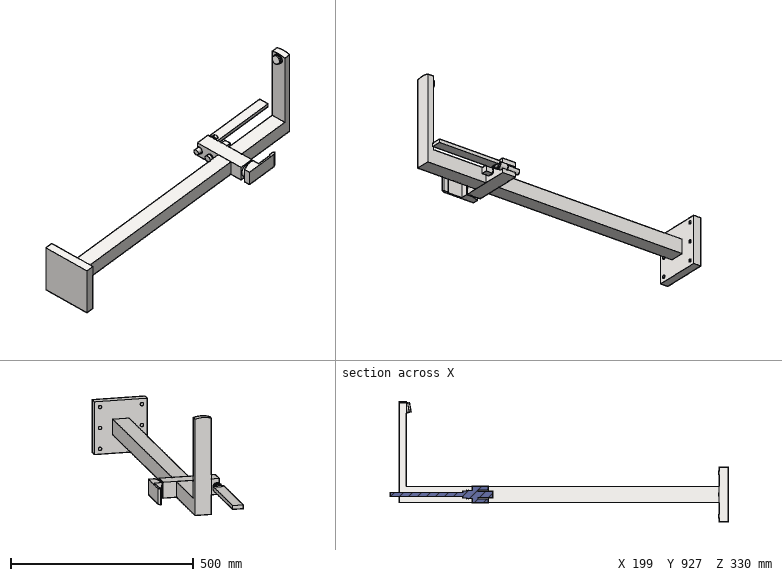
import cadquery as cq
import math


BASE_SIDE = 150.0
BASE_THICK = 25.0
PAD_RADIUS = 5.0
PAD_HEIGHT = 1.4
PAD_OFFSET = 59.0

COLUMN_WIDTH = 46.0
COLUMN_HEIGHT = 44.5
SPOUT_FRONT = 883.0
SPOUT_BACK = 903.0
SPOUT_TOP = 255.0
SPOUT_CROWN = 4.0

NOZZLE_COLLAR_RADIUS = 14.0
NOZZLE_COLLAR_LENGTH = 6.0
NOZZLE_FACE_RADIUS = 13.0
NOZZLE_FACE_LENGTH = 11.0
NOZZLE_TILT = 10
NOZZLE_Z = 237.0

BODY_HEIGHT = 45.0
BODY_LEFT = -99.0
BODY_RIGHT = 60.0
BODY_FRONT = 658.0
BODY_BACK = 703.0
BODY_MID = (BODY_FRONT + BODY_BACK) / 2

SHOWER_LEFT = -108.0
SHOWER_WIDTH = 31.0
SHOWER_X = SHOWER_LEFT + SHOWER_WIDTH / 2
SHOWER_THICK = 11.0
SHOWER_END = 927
SHOWER_START = 718.0
SOCKET_RADIUS = 10.0
SOCKET_END = 728.0
COLLAR_RADIUS = 12.0
COLLAR_START = 713.0
TUBE_RADIUS = 11.0
TUBE_START = 686.0
PEG_RADIUS = 8.0
PEG_START = 645.0

DIVERTER_X = -50.0
DIVERTER_WIDTH = 19.5
DIVERTER_NECK_RADIUS = 8.0
DIVERTER_NECK = 3.0
DIVERTER_FRONT = PEG_START
DIVERTER_BACK = 729.0

CARTRIDGE_RADIUS = 19.5
CARTRIDGE_END = 70.5
LEVER_INNER = 64.0
LEVER_FOOT = 72.0
LEVER_SLANT_START = 682.0
LEVER_OUTER = 91.0
LEVER_THICK = 6.0
LEVER_TIP = 771.0
LIP_START = 751.0
LIP_THICK = 8.0
LIP_BEVEL_START = 760.0
LIP_CORNER = 767.0
LIP_CREST = 5.0


def box(x0, x1, y0, y1, z0, z1):
    return cq.Workplane("XY").box(x1 - x0, y1 - y0, z1 - z0, centered=False).translate((x0, y0, z0))


def centred_box(x_mid, width, y0, y1, height):
    """Box along Y, centred on Z = 0."""
    return box(x_mid - width / 2, x_mid + width / 2, y0, y1, -height / 2, height / 2)


def rod(x, z, y0, y1, radius):
    """Cylinder along Y."""
    return cq.Workplane("XY").add(
        cq.Solid.makeCylinder(radius, y1 - y0, cq.Vector(x, y0, z), cq.Vector(0, 1, 0))
    )


def make_base():
    base = centred_box(0, BASE_SIDE, 0, BASE_THICK, BASE_SIDE)
    for x in (-PAD_OFFSET, PAD_OFFSET):
        for z in (-PAD_OFFSET, 0, PAD_OFFSET):
            base = base.union(rod(x, z, 0, BASE_THICK + PAD_HEIGHT, PAD_RADIUS))
    return base


def make_spout():
    half_width = COLUMN_WIDTH / 2
    shoulder = SPOUT_TOP - SPOUT_CROWN
    return (
        cq.Workplane("XZ", origin=(0, SPOUT_BACK, 0))
        .moveTo(-half_width, -COLUMN_HEIGHT / 2)
        .lineTo(half_width, -COLUMN_HEIGHT / 2)
        .lineTo(half_width, shoulder)
        .threePointArc((0, SPOUT_TOP), (-half_width, shoulder))
        .close()
        .extrude(SPOUT_BACK - SPOUT_FRONT)
    )


def make_nozzle():
    tilt = math.radians(NOZZLE_TILT)
    root_depth = 9.0
    outward = cq.Vector(0, -math.cos(tilt), math.sin(tilt))
    root = cq.Vector(0, SPOUT_FRONT, NOZZLE_Z) - outward * root_depth
    collar = cq.Solid.makeCylinder(
        NOZZLE_COLLAR_RADIUS, root_depth + NOZZLE_COLLAR_LENGTH, root, outward
    )
    face = cq.Solid.makeCylinder(NOZZLE_FACE_RADIUS, root_depth + NOZZLE_FACE_LENGTH, root, outward)
    return cq.Workplane("XY").add(collar).union(cq.Workplane("XY").add(face))


def make_body():
    half_height = BODY_HEIGHT / 2
    body = box(BODY_LEFT, BODY_RIGHT, BODY_FRONT, BODY_BACK, -half_height, half_height)
    return body.cut(rod(SHOWER_X, 0, BODY_FRONT, BODY_BACK, TUBE_RADIUS))


def make_hand_shower():
    shower = centred_box(SHOWER_X, SHOWER_WIDTH, SHOWER_START, SHOWER_END, SHOWER_THICK)
    steps = (
        (SHOWER_START, SOCKET_END, SOCKET_RADIUS),
        (COLLAR_START, SHOWER_START, COLLAR_RADIUS),
        (TUBE_START, COLLAR_START, TUBE_RADIUS),
        (PEG_START, TUBE_START, PEG_RADIUS),
    )
    for start, end, radius in steps:
        shower = shower.union(rod(SHOWER_X, 0, start, end, radius))
    return shower


def make_diverter():
    """Square button behind the body and round button in front, joined by a slim neck."""
    neck_front = BODY_FRONT - DIVERTER_NECK
    neck_back = BODY_BACK + DIVERTER_NECK
    neck = rod(DIVERTER_X, 0, neck_front, neck_back, DIVERTER_NECK_RADIUS)
    front_button = rod(DIVERTER_X, 0, DIVERTER_FRONT, neck_front, DIVERTER_WIDTH / 2)
    back_button = centred_box(DIVERTER_X, DIVERTER_WIDTH, neck_back, DIVERTER_BACK, DIVERTER_WIDTH)
    return neck.union(front_button).union(back_button)


def make_lever():
    plate_inner = LEVER_OUTER - LEVER_THICK
    outline = [
        (LEVER_FOOT, BODY_FRONT),
        (LEVER_OUTER, BODY_FRONT),
        (LEVER_OUTER, LIP_BEVEL_START),
        (LEVER_OUTER - LIP_CREST, LEVER_TIP),
        (LEVER_OUTER - LIP_THICK, LIP_CORNER),
        (LEVER_OUTER - LIP_THICK, LIP_START),
        (plate_inner, LIP_START),
        (plate_inner, BODY_BACK),
        (LEVER_INNER, BODY_BACK),
        (LEVER_INNER, LEVER_SLANT_START),
    ]
    handle = (
        cq.Workplane("XY", origin=(0, 0, -COLUMN_HEIGHT / 2))
        .polyline(outline)
        .close()
        .extrude(COLUMN_HEIGHT)
    )
    cartridge = (
        cq.Workplane("YZ", origin=(BODY_RIGHT, 0, 0))
        .center(BODY_MID, 0)
        .circle(CARTRIDGE_RADIUS)
        .extrude(CARTRIDGE_END - BODY_RIGHT)
    )
    return handle.union(cartridge)


column = centred_box(0, COLUMN_WIDTH, BASE_THICK, SPOUT_FRONT, COLUMN_HEIGHT)
result = (
    make_base()
    .union(column)
    .union(make_spout())
    .union(make_nozzle())
    .union(make_body())
    .union(make_hand_shower())
    .union(make_diverter())
    .union(make_lever())
)